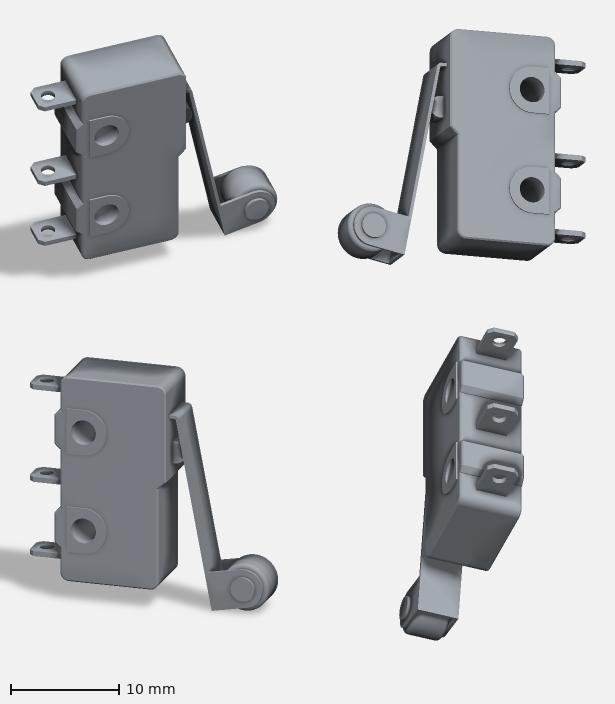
import cadquery as cq
import math


HOUSING_WIDTH = 6.1
HOUSING_HEIGHT = 20.0
HOUSING_DEPTH = 10.27
LOWER_BACK_STEP = 0.73
STEP_TOP_Z = 10.62
CORNER_RADIUS = 0.82
SIDE_CHAMFER = 0.15

MOUNT_HOLE_DIAMETER = 2.4
MOUNT_HOLE_Y = 2.35
UPPER_MOUNT_Z = 14.75
MOUNT_SPACING = 9.6
MOUNT_Z = [UPPER_MOUNT_Z, UPPER_MOUNT_Z - MOUNT_SPACING]
PAD_RADIUS = 2.2
PAD_FRONT_Y = 0.68
OVERALL_WIDTH = 6.4
RIB_HEIGHT = 3.88
RIB_DEPTH = 0.58
RIB_CHAMFER = 0.51

TERMINAL_Z = [18.1, 9.08, 1.83]
TERMINAL_WIDTH = 3.0
TERMINAL_LENGTH = 3.6
TERMINAL_THICKNESS = 0.5
TERMINAL_CHAMFER = 0.5
TERMINAL_HOLE_DIAMETER = 1.3
TERMINAL_HOLE_TO_TIP = 1.33

ROLLER_DIAMETER = 4.6
ROLLER_FILLET = 0.37
AXLE_DIAMETER = 2.3
AXLE_LENGTH = 4.6
OVERALL_DEPTH = 23.4
ROLLER_Y = OVERALL_DEPTH - TERMINAL_LENGTH - ROLLER_DIAMETER / 2
ROLLER_Z = 0.68

LEVER_ANGLE = 10.8
LEVER_WIDTH = 4.0
LEVER_THICKNESS = 0.3
LEVER_FOOT_TOP_Z = 16.9
LEVER_BEND_RADIUS = 0.15
CHEEK_RADIUS = 1.85
CHEEK_REACH = 3.49
CHEEK_FOLD_RADIUS = 0.23
ROLLER_WIDTH = LEVER_WIDTH - 2 * LEVER_THICKNESS

PLUNGER_HEIGHT = 2.05
PLUNGER_REACH = 1.3
PLUNGER_Z = 12.95
PLUNGER_WIDTH = PLUNGER_HEIGHT


def side_plane(width):
    """YZ sketch plane at -width / 2, so that extruding by width centres on X = 0."""
    return cq.Workplane("YZ", origin=(-width / 2, 0, 0))


def make_housing():
    lower_back_y = HOUSING_DEPTH - LOWER_BACK_STEP
    body = (
        side_plane(HOUSING_WIDTH)
        .polyline([
            (0, 0),
            (lower_back_y, 0),
            (lower_back_y, STEP_TOP_Z - LOWER_BACK_STEP),
            (HOUSING_DEPTH, STEP_TOP_Z),
            (HOUSING_DEPTH, HOUSING_HEIGHT),
            (0, HOUSING_HEIGHT),
        ])
        .close()
        .extrude(HOUSING_WIDTH)
    )
    body = body.edges("|X and (<Z or >Z)").fillet(CORNER_RADIUS)

    for z in MOUNT_Z:
        body = body.union(make_rib(z))
    body = body.faces("<X or >X").edges().chamfer(SIDE_CHAMFER)

    for z in MOUNT_Z:
        body = body.union(make_pad(z))
    holes = (
        side_plane(OVERALL_WIDTH)
        .pushPoints([(MOUNT_HOLE_Y, z) for z in MOUNT_Z])
        .circle(MOUNT_HOLE_DIAMETER / 2)
        .extrude(OVERALL_WIDTH)
    )
    return body.cut(holes)


def make_rib(z):
    """Rib with bevelled edges across the terminal face."""
    return (
        side_plane(HOUSING_WIDTH)
        .center(0, z)
        .polyline([
            (0, -RIB_HEIGHT / 2),
            (RIB_CHAMFER - RIB_DEPTH, -RIB_HEIGHT / 2),
            (-RIB_DEPTH, RIB_CHAMFER - RIB_HEIGHT / 2),
            (-RIB_DEPTH, RIB_HEIGHT / 2 - RIB_CHAMFER),
            (RIB_CHAMFER - RIB_DEPTH, RIB_HEIGHT / 2),
            (0, RIB_HEIGHT / 2),
        ])
        .close()
        .extrude(HOUSING_WIDTH)
    )


def make_pad(z):
    """D-shaped pad around a mounting hole, raised on both sides of the housing."""
    return (
        side_plane(OVERALL_WIDTH)
        .moveTo(PAD_FRONT_Y, z - PAD_RADIUS)
        .lineTo(MOUNT_HOLE_Y, z - PAD_RADIUS)
        .threePointArc((MOUNT_HOLE_Y + PAD_RADIUS, z), (MOUNT_HOLE_Y, z + PAD_RADIUS))
        .lineTo(PAD_FRONT_Y, z + PAD_RADIUS)
        .close()
        .extrude(OVERALL_WIDTH)
    )


def make_terminal(z):
    """Flat terminal standing on the front face of the housing."""
    return (
        cq.Workplane("XY", origin=(0, -TERMINAL_LENGTH / 2, z))
        .box(TERMINAL_WIDTH, TERMINAL_LENGTH, TERMINAL_THICKNESS)
        .edges("|Z and <Y")
        .chamfer(TERMINAL_CHAMFER)
        .faces(">Z")
        .workplane(origin=(0, TERMINAL_HOLE_TO_TIP - TERMINAL_LENGTH, z))
        .hole(TERMINAL_HOLE_DIAMETER)
    )


def make_plunger():
    """Button with a fully rounded end, standing on the back face of the housing."""
    radius = PLUNGER_HEIGHT / 2
    round_start_y = HOUSING_DEPTH + PLUNGER_REACH - radius
    return (
        side_plane(PLUNGER_WIDTH)
        .moveTo(HOUSING_DEPTH, PLUNGER_Z - radius)
        .lineTo(round_start_y, PLUNGER_Z - radius)
        .threePointArc((round_start_y + radius, PLUNGER_Z), (round_start_y, PLUNGER_Z + radius))
        .lineTo(HOUSING_DEPTH, PLUNGER_Z + radius)
        .close()
        .extrude(PLUNGER_WIDTH)
    )


def make_strip():
    """Strip that leaves the housing horizontally and bends down to the roller."""
    angle = math.radians(LEVER_ANGLE)
    sin, cos, tan = math.sin(angle), math.cos(angle), math.tan(angle)
    foot_bottom_z = LEVER_FOOT_TOP_Z - LEVER_THICKNESS

    end_y = ROLLER_Y - CHEEK_REACH * cos + CHEEK_RADIUS * sin
    end_z = ROLLER_Z - CHEEK_REACH * sin - CHEEK_RADIUS * cos
    inner_bend_y = end_y - (foot_bottom_z - end_z) * tan
    outer_bend_y = end_y + LEVER_THICKNESS / cos - (LEVER_FOOT_TOP_Z - end_z) * tan

    strip = (
        side_plane(LEVER_WIDTH)
        .polyline([
            (HOUSING_DEPTH, LEVER_FOOT_TOP_Z),
            (HOUSING_DEPTH, foot_bottom_z),
            (inner_bend_y, foot_bottom_z),
            (end_y, end_z),
            (end_y + LEVER_THICKNESS * cos, end_z + LEVER_THICKNESS * sin),
            (outer_bend_y, LEVER_FOOT_TOP_Z),
        ])
        .close()
        .extrude(LEVER_WIDTH)
    )
    inner_bend = cq.NearestToPointSelector((0, inner_bend_y, foot_bottom_z))
    outer_bend = cq.NearestToPointSelector((0, outer_bend_y, LEVER_FOOT_TOP_Z))
    strip = strip.edges(inner_bend).fillet(LEVER_BEND_RADIUS)
    return strip.edges(outer_bend).fillet(LEVER_BEND_RADIUS + LEVER_THICKNESS)


def make_cheeks():
    """Fork of two cheeks, built upright around the axle and then tilted into place."""
    block = (
        side_plane(LEVER_WIDTH)
        .moveTo(-CHEEK_REACH, -CHEEK_RADIUS)
        .lineTo(0, -CHEEK_RADIUS)
        .threePointArc((CHEEK_RADIUS, 0), (0, CHEEK_RADIUS))
        .lineTo(-CHEEK_REACH, CHEEK_RADIUS)
        .close()
        .extrude(LEVER_WIDTH)
    )
    gap_length = CHEEK_REACH - LEVER_THICKNESS + CHEEK_RADIUS
    gap = (
        cq.Workplane("XY")
        .box(ROLLER_WIDTH, gap_length, 2 * CHEEK_RADIUS)
        .edges("|Z and <Y")
        .fillet(CHEEK_FOLD_RADIUS)
        .translate((0, CHEEK_RADIUS - gap_length / 2, 0))
    )
    axle_hole = side_plane(LEVER_WIDTH).circle(AXLE_DIAMETER / 2).extrude(LEVER_WIDTH)
    return (
        block.cut(gap)
        .cut(axle_hole)
        .rotate((0, 0, 0), (1, 0, 0), LEVER_ANGLE)
        .translate((0, ROLLER_Y, ROLLER_Z))
    )


def make_lever():
    return make_strip().union(make_cheeks())


def make_roller():
    """Roller with axle stubs that pass through the cheeks."""
    wheel = (
        side_plane(ROLLER_WIDTH)
        .center(ROLLER_Y, ROLLER_Z)
        .circle(ROLLER_DIAMETER / 2)
        .extrude(ROLLER_WIDTH)
        .edges()
        .fillet(ROLLER_FILLET)
    )
    axle = (
        side_plane(AXLE_LENGTH)
        .center(ROLLER_Y, ROLLER_Z)
        .circle(AXLE_DIAMETER / 2)
        .extrude(AXLE_LENGTH)
    )
    return wheel.union(axle)


housing = make_housing()
terminals = [make_terminal(z) for z in TERMINAL_Z]
plunger = make_plunger()
lever = make_lever()
roller = make_roller()

result = cq.Compound.makeCompound([
    housing.solids().val(),
    *[terminal.val() for terminal in terminals],
    plunger.solids().val(),
    lever.solids().val(),
    roller.solids().val(),
])